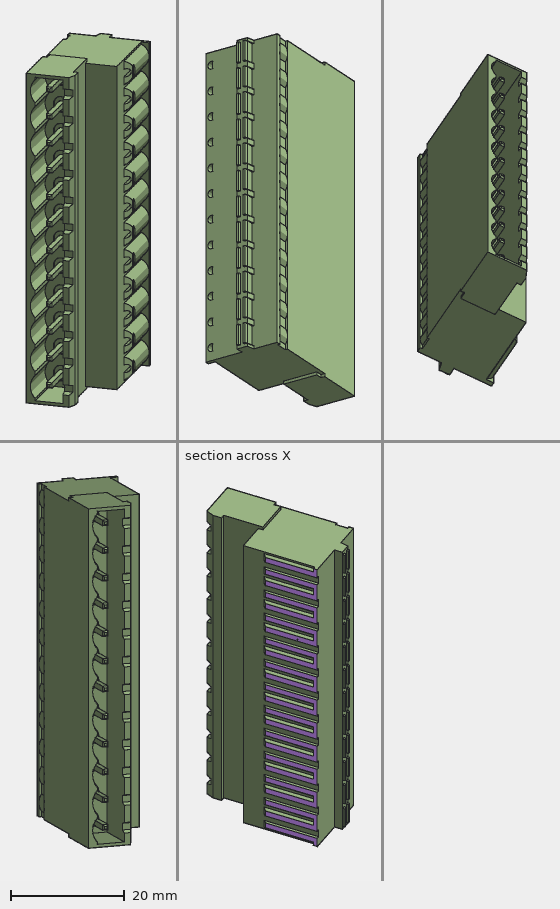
import cadquery as cq


pole_count = 12
pitch = 5.0
row_start = -(pole_count - 1) * pitch / 2
pole_heights = [row_start + i * pitch for i in range(pole_count)]

overall_width = 15.0
overall_depth = 26.99
header_height = 61.32
end_wall = 0.6
plug_height = header_height - 2 * end_wall

header_width = 7.75
header_back = 11.0
header_corner_width = 0.8
header_corner_back = 9.65
lip_width = 8.6
lip_start_width = 7.95
lip_full_y = 1.55
lip_back = 3.25

cavity_left = 1.7
cavity_right = 6.8
cavity_depth = 8.5
cavity_height = plug_height
pin_x = 3.8
scallop_radius = 3.0

notch_depth = 1.0
notch_front_height = 1.9
notch_back_height = 1.2

pin_size = 1.0
pin_tip_size = 0.5
pin_tip_y = 1.3
pin_taper_length = 0.3
pin_recess_radius = 1.45
pin_recess_depth = 0.5

plug_width = 13.55
plug_front = 10.1
plug_back = 25.0
flange_thickness = 0.8
flange_front = plug_back - flange_thickness

tube_radius = 2.38
tube_x = overall_width - tube_radius
tube_bore_x = 13.8
tube_bore_radius = 0.75
tube_flat_front = 16.2
tube_nose_width = 14.72
tube_nose_y = 15.4
tube_front = 14.2

channel_depth = 0.45
channel_front = 21.65
channel_back = 24.05
pad_half_chord = 1.55
pad_radius = (pad_half_chord**2 + channel_depth**2) / (2 * channel_depth)

ridge_left = 4.9
block_left = 5.27
ridge_right = 7.4
ridge_back = 26.55
block_height = 3.9
lug_width = 0.6
lug_slant = 0.2
lug_setback = 0.15
lug_positions = (block_left, ridge_right - lug_setback - lug_width)


def box(x_range, y_range, z_range):
    """Box between the given limits."""
    size = [high - low for low, high in (x_range, y_range, z_range)]
    corner = (x_range[0], y_range[0], z_range[0])
    return cq.Workplane("XY").box(*size, centered=False).translate(corner)


def centred(height, middle=0.0):
    """Z limits of a span of the given height."""
    return (middle - height / 2, middle + height / 2)


def upright(points, height, middle=0.0):
    """Prism along Z with an XY outline."""
    outline = cq.Workplane("XY").polyline(points).close()
    return outline.extrude(height).translate((0, 0, middle - height / 2))


def rod(x, z, radius, y_range):
    """Cylinder along Y."""
    length = y_range[1] - y_range[0]
    axis_start = cq.Vector(x, y_range[0], z)
    return cq.Workplane(cq.Solid.makeCylinder(radius, length, axis_start, cq.Vector(0, 1, 0)))


def make_plug_body():
    body = box((0, plug_width), (plug_front, plug_back), centred(plug_height))
    flange = box((0, overall_width), (flange_front, plug_back), centred(plug_height))
    side_wall = box((0, header_corner_width), (header_corner_back, plug_back), centred(plug_height))
    return body.union(flange).union(side_wall)


def make_channel():
    """Material removed from the side face, leaving one rounded pad per pole."""
    channel = box((0, channel_depth), (channel_front, channel_back), centred(plug_height))
    for z in pole_heights:
        channel = channel.cut(rod(pad_radius, z, pad_radius, (channel_front, channel_back)))
    return channel


def make_tube(z):
    """Part-round rib with a stepped and chamfered nose, tangent to the far side."""
    envelope = upright(
        [
            (plug_width, flange_front),
            (overall_width, flange_front),
            (overall_width, tube_flat_front),
            (tube_nose_width, tube_flat_front),
            (tube_nose_width, tube_nose_y),
            (plug_width, tube_front),
        ],
        2 * tube_radius,
        z,
    )
    return envelope.intersect(rod(tube_x, z, tube_radius, (tube_front, flange_front)))


def make_tube_bore(z):
    """Bore through tube and flange, open only beyond the plug wall."""
    y_range = (tube_front, plug_back)
    outside = box((plug_width, overall_width), y_range, centred(2 * tube_radius, z))
    return rod(tube_bore_x, z, tube_bore_radius, y_range).intersect(outside)


def make_lug(left, z):
    """Small lug on the outer end of a block, with its -X side slanted."""
    outline = [
        (left, ridge_back),
        (left + lug_slant, overall_depth),
        (left + lug_width, overall_depth),
        (left + lug_width, ridge_back),
    ]
    return upright(outline, block_height, z)


def make_ridge():
    """Ridge with one slanted side, interrupted by square blocks."""
    ridge = upright(
        [
            (ridge_left, plug_back),
            (block_left, ridge_back),
            (ridge_right, ridge_back),
            (ridge_right, plug_back),
        ],
        plug_height,
    )
    for z in pole_heights:
        block_span = centred(block_height, z)
        ridge = ridge.cut(box((ridge_left, block_left), (plug_back, ridge_back), block_span))
        for left in lug_positions:
            ridge = ridge.union(make_lug(left, z))
    return ridge


def make_header_body():
    return upright(
        [
            (0, 0),
            (lip_start_width, 0),
            (lip_width, lip_full_y),
            (lip_width, lip_back),
            (header_width, lip_back),
            (header_width, header_back),
            (header_corner_width, header_back),
            (header_corner_width, header_corner_back),
            (0, header_corner_back),
        ],
        header_height,
    )


def make_cavity():
    """Header opening with one round scallop per pole along its thick wall."""
    cavity = box((cavity_left, cavity_right), (0, cavity_depth), centred(cavity_height))
    for z in pole_heights:
        scallop = rod(pin_x, z, scallop_radius, (0, cavity_depth))
        pole_space = box((0, pin_x), (0, cavity_depth), centred(pitch, z))
        recess = rod(pin_x, z, pin_recess_radius, (cavity_depth, cavity_depth + pin_recess_depth))
        cavity = cavity.union(scallop.intersect(pole_space)).union(recess)
    return cavity


def make_notch(z):
    """Notch in the latching wall that narrows with depth."""
    front = notch_front_height / 2
    back = notch_back_height / 2
    outline = [(0, z - front), (notch_depth, z - back), (notch_depth, z + back), (0, z + front)]
    length = lip_width - cavity_right
    return cq.Workplane("YZ").polyline(outline).close().extrude(length).translate((cavity_right, 0, 0))


def make_pin(z):
    """Square pin with a tapered tip, rooted in the bottom of its recess."""
    taper_end = pin_tip_y + pin_taper_length
    root = cavity_depth + pin_recess_depth
    section = centred(pin_size, pin_x)
    shank = box(section, (taper_end, root), centred(pin_size, z))
    tip = (
        cq.Workplane("XZ", origin=(pin_x, taper_end, z))
        .rect(pin_size, pin_size)
        .workplane(offset=pin_taper_length)
        .rect(pin_tip_size, pin_tip_size)
        .loft()
    )
    return shank.union(tip)


plug = make_plug_body().cut(make_channel()).union(make_ridge())
header = make_header_body().cut(make_cavity())
for pole_z in pole_heights:
    plug = plug.union(make_tube(pole_z)).cut(make_tube_bore(pole_z))
    header = header.cut(make_notch(pole_z)).union(make_pin(pole_z))

result = plug.union(header)